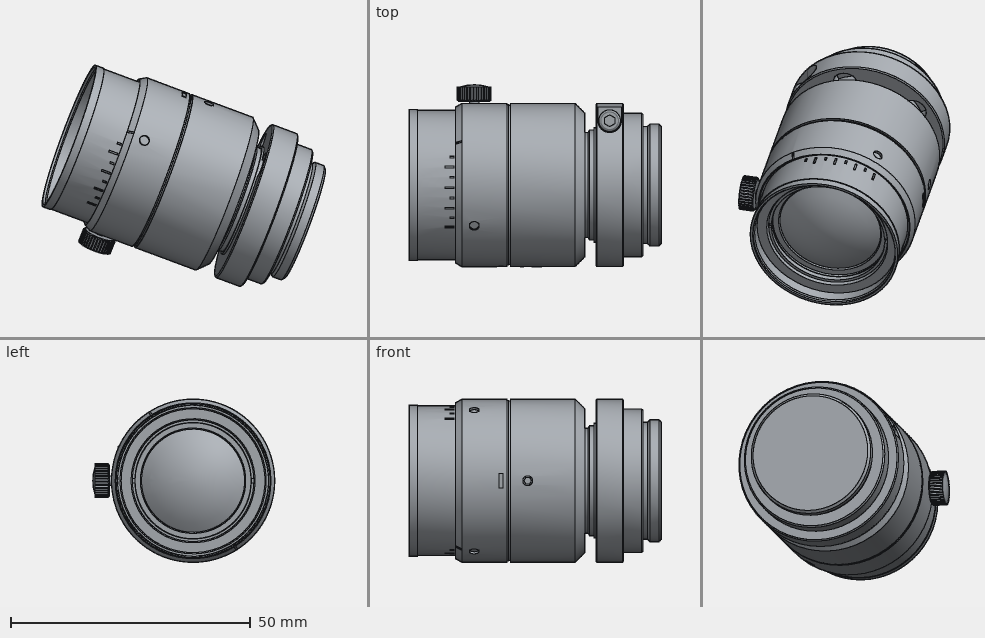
import cadquery as cq
import math

total_length = 52.6
max_dia = 34.1
barrel_axis = ((0, 0, 0), (1, 0, 0))

rim_dia = 31.55
rim_end = 1.75
sleeve_dia = 31.3
ring_start = 9.65
ring_front_dia = 32.5
ring_bore_dia = 32.1
ring_gap_depth = 0.5
ring_chamfer_end = 11.0
groove_start = 20.4
groove_end = 21.1
groove_dia = 33.5
groove_rear_dia = 33.3
body_chamfer_start = 34.6
body_end = 36.65
body_end_dia = 30.0

neck_dia = 22.0
neck_cone_start = 37.35
neck_cone_end = 37.6
collar_dia = 23.0
collar_end = 38.5
shoulder_dia = 24.0
flange_start = 38.95
flange_end = 44.7
flange_chamfer = 0.25
mount_dia = 30.0
mount_end = 48.8
mount_chamfer = 0.3
relief_dia = 24.45
thread_start = 49.7
thread_dia = 25.5
thread_chamfer = (thread_dia - relief_dia) / 2

rim_inner_dia = 30.5
recess_dia = 30.0
recess_chamfer_start = 0.5
recess_chamfer_end = 0.8
recess_depth = 3.15
seat_bore_dia = 25.35
seat_bore_front_dia = 25.9
retainer_start = 3.85
retainer_dia = 24.2
retainer_end = 5.05
undercut_dia = 24.4
lens_seat_x = 5.8
lens_bore_dia = 22.0
lens_dia = 21.5
lens_edge_x = 6.1
lens_apex_x = 2.4
spanner_slot_width = 0.9
spanner_slot_depth = 0.65

screw_x = 13.55
screw_hole_dia = 2.05
screw_hole_depth = 0.5
screw_hole_angles = (120, 240)
shank_embedding = 0.5
knob_dia = 7.1
knob_bottom = 17.45
knob_top = 20.45
knob_chamfer = 0.3
dome_dia = 5.9
dome_top = 20.95
flute_count = 36
flute_dia = 0.35

set_screw_x = 24.75
set_screw_recess = 0.5
set_screw_hex = 1.6
set_screw_hex_depth = 0.8
set_screw_angle = 180
mark_x = 19.2
mark_width = 0.85
mark_length = 3.05
mark_depth = 0.2

clamp_x = (flange_start + flange_end) / 2
clamp_y = 13.4
clamp_seat_z = 5.1
clamp_seat_width = 4.9
clamp_head_dia = 4.5
clamp_head_height = 2.2
clamp_head_fillet = 0.4
clamp_hex = 2.45
clamp_hex_depth = 1.05
flange_hole_dia = 5.25
flange_hole_circle_radius = 13.05
flange_hole_depth = 3.15
flange_hole_angles = (72, 144, 216)
flange_core_dia = 25.05
flange_core_setback = 0.3

tick_count = 8
tick_spacing = 8.0
first_tick_angle = 68.0
tick_end = 9.35
short_tick_length = 0.85
long_tick_length = 1.9
index_angle = 57.6
engraving_width = 0.35
engraving_depth = 0.1


def barrel():
    """Solid of revolution about X, without the front recess."""
    r = max_dia / 2
    groove_middle = (groove_start + groove_end) / 2
    outline = [
        (0, 0),
        (0, rim_dia / 2),
        (rim_end, rim_dia / 2),
        (rim_end, sleeve_dia / 2),
        (ring_start + ring_gap_depth, sleeve_dia / 2),
        (ring_start + ring_gap_depth, ring_bore_dia / 2),
        (ring_start, ring_bore_dia / 2),
        (ring_start, ring_front_dia / 2),
        (ring_chamfer_end, r),
        (groove_start, r),
        (groove_start, groove_dia / 2),
        (groove_middle, groove_dia / 2),
        (groove_middle, groove_rear_dia / 2),
        (groove_end, groove_rear_dia / 2),
        (groove_end, r),
        (body_chamfer_start, r),
        (body_end, body_end_dia / 2),
        (body_end, neck_dia / 2),
        (neck_cone_start, neck_dia / 2),
        (neck_cone_end, collar_dia / 2),
        (collar_end, collar_dia / 2),
        (collar_end, shoulder_dia / 2),
        (flange_start, shoulder_dia / 2),
        (flange_start, r - flange_chamfer),
        (flange_start + flange_chamfer, r),
        (flange_end - flange_chamfer, r),
        (flange_end, r - flange_chamfer),
        (flange_end, mount_dia / 2),
        (mount_end - mount_chamfer, mount_dia / 2),
        (mount_end, mount_dia / 2 - mount_chamfer),
        (mount_end, relief_dia / 2),
        (thread_start, relief_dia / 2),
        (thread_start + thread_chamfer, thread_dia / 2),
        (total_length - thread_chamfer, thread_dia / 2),
        (total_length, relief_dia / 2),
        (total_length, 0),
    ]
    return cq.Workplane("XY").polyline(outline).close().revolve(360, *barrel_axis)


def front_recess():
    """Stepped opening in front of the convex lens surface."""
    lens_r = lens_dia / 2
    sag = lens_edge_x - lens_apex_x
    sphere_r = (lens_r**2 + sag**2) / (2 * sag)
    half_angle = math.asin(lens_r / sphere_r) / 2
    lens_mid = (
        lens_apex_x + sphere_r * (1 - math.cos(half_angle)),
        sphere_r * math.sin(half_angle),
    )
    return (
        cq.Workplane("XY")
        .moveTo(0, 0)
        .lineTo(0, rim_inner_dia / 2)
        .lineTo(recess_chamfer_start, rim_inner_dia / 2)
        .lineTo(recess_chamfer_end, recess_dia / 2)
        .lineTo(recess_depth, recess_dia / 2)
        .lineTo(recess_depth, seat_bore_front_dia / 2)
        .lineTo(retainer_start, seat_bore_dia / 2)
        .lineTo(retainer_start, retainer_dia / 2)
        .lineTo(retainer_end, retainer_dia / 2)
        .lineTo(retainer_end, undercut_dia / 2)
        .lineTo(lens_seat_x, undercut_dia / 2)
        .lineTo(lens_seat_x, lens_bore_dia / 2)
        .lineTo(lens_edge_x, lens_r)
        .threePointArc(lens_mid, (lens_apex_x, 0))
        .close()
        .revolve(360, *barrel_axis)
    )


def spanner_slots():
    """Pair of slots across the lens retaining ring, on the Y axis."""
    slot = cq.Workplane("XY", origin=(retainer_start + spanner_slot_depth / 2, 0, 0)).box(
        spanner_slot_depth, seat_bore_dia, spanner_slot_width
    )
    bore = cq.Workplane("YZ").circle(retainer_dia / 2).extrude(retainer_end)
    return slot.cut(bore)


def radial_plane(x, angle, radius):
    """Workplane facing outward at the given X, radius and angle from +Y toward +Z."""
    a = math.radians(angle)
    out = (0, math.cos(a), math.sin(a))
    origin = (x, radius * out[1], radius * out[2])
    return cq.Workplane(cq.Plane(origin=origin, xDir=(1, 0, 0), normal=out))


def radial_hole(angle):
    """Blind radial hole in the ring."""
    floor_radius = max_dia / 2 - screw_hole_depth
    return radial_plane(screw_x, angle, floor_radius).circle(screw_hole_dia / 2).extrude(2 * screw_hole_depth)


def thumb_screw():
    """Knurled thumb screw with a domed top, standing on +Y."""
    head_height = knob_top - knob_bottom
    shank_start = max_dia / 2 - shank_embedding
    shank = radial_plane(screw_x, 0, shank_start).circle(screw_hole_dia / 2)
    shank = shank.extrude(knob_bottom - shank_start)
    head = radial_plane(screw_x, 0, knob_bottom).circle(knob_dia / 2).extrude(head_height)
    head = head.faces("<Y").chamfer(knob_chamfer)
    flutes = (
        radial_plane(screw_x, 0, knob_bottom)
        .polarArray(knob_dia / 2, 0, 360, flute_count)
        .circle(flute_dia / 2)
        .extrude(head_height)
    )
    dome_height = dome_top - knob_top
    sphere_radius = ((dome_dia / 2) ** 2 + dome_height**2) / (2 * dome_height)
    dome = (
        cq.Workplane("XY")
        .moveTo(screw_x, knob_top)
        .lineTo(screw_x + dome_dia / 2, knob_top)
        .radiusArc((screw_x, dome_top), -sphere_radius)
        .close()
        .revolve(360, (screw_x, 0, 0), (screw_x, 1, 0))
    )
    return shank.union(head.cut(flutes)).union(dome)


def set_screw_opening():
    """Bore on -Y down to the set screw, with the hexagon socket below it."""
    floor_radius = max_dia / 2 - set_screw_recess
    bore = radial_plane(set_screw_x, set_screw_angle, floor_radius).circle(screw_hole_dia / 2)
    socket = radial_plane(set_screw_x, set_screw_angle, floor_radius).polygon(6, set_screw_hex)
    return bore.extrude(2 * set_screw_recess).union(socket.extrude(-set_screw_hex_depth))


def body_mark():
    """Shallow rectangular mark in line with the set screw."""
    floor_plane = radial_plane(mark_x, set_screw_angle, max_dia / 2 - mark_depth)
    return floor_plane.rect(mark_width, mark_length).extrude(2 * mark_depth)


def clamp_seat():
    """Round-ended flat cut into the flange, open toward +Y."""
    reach = max_dia / 2 - clamp_y
    seat = cq.Workplane("XY", origin=(clamp_x, clamp_y, clamp_seat_z))
    height = max_dia / 2
    pocket = seat.circle(clamp_seat_width / 2).extrude(height)
    opening = seat.center(0, reach / 2).rect(clamp_seat_width, reach).extrude(height)
    return pocket.union(opening)


def clamp_screw():
    """Socket-head screw standing on the clamp seat."""
    return (
        cq.Workplane("XY", origin=(clamp_x, clamp_y, clamp_seat_z))
        .circle(clamp_head_dia / 2)
        .extrude(clamp_head_height)
        .faces(">Z")
        .edges()
        .fillet(clamp_head_fillet)
        .faces(">Z")
        .workplane()
        .transformed(rotate=(0, 0, 90))
        .polygon(6, clamp_hex)
        .cutBlind(-clamp_hex_depth)
    )


def flange_hole(angle):
    """Hole into the front face of the flange, interrupted by the stepped core of the barrel."""
    a = math.radians(angle)
    y = flange_hole_circle_radius * math.cos(a)
    z = flange_hole_circle_radius * math.sin(a)
    hole = cq.Workplane("YZ", origin=(flange_start, y, z)).circle(flange_hole_dia / 2)
    hole = hole.extrude(flange_hole_depth)
    core = cq.Workplane("YZ").circle(shoulder_dia / 2).extrude(flange_end)
    stepped_core = (
        cq.Workplane("YZ", origin=(flange_start + flange_core_setback, 0, 0))
        .circle(flange_core_dia / 2)
        .extrude(flange_hole_depth)
    )
    return hole.cut(core).cut(stepped_core)


def scale_tick(index, side):
    """One line of the aperture scale; every second line is long."""
    length = long_tick_length if index % 2 else short_tick_length
    angle = first_tick_angle + index * tick_spacing + side
    floor_radius = sleeve_dia / 2 - engraving_depth
    plane = radial_plane(tick_end - length / 2, angle, floor_radius)
    return plane.rect(length, engraving_width).extrude(2 * engraving_depth)


def index_mark(side):
    """Groove of constant depth along the front cone of the ring."""
    front_floor = ring_front_dia / 2 - engraving_depth
    rear_floor = max_dia / 2 - engraving_depth
    return (
        cq.Workplane("XY")
        .polyline([
            (ring_start, front_floor),
            (ring_chamfer_end, rear_floor),
            (ring_chamfer_end, max_dia / 2),
            (ring_start, max_dia / 2),
        ])
        .close()
        .extrude(engraving_width / 2, both=True)
        .rotate(*barrel_axis, index_angle + side)
    )


result = barrel().cut(front_recess()).cut(spanner_slots())
for hole_angle in screw_hole_angles:
    result = result.cut(radial_hole(hole_angle))
for hole_angle in flange_hole_angles:
    result = result.cut(flange_hole(hole_angle))
for scale_side in (0, 180):
    result = result.cut(index_mark(scale_side))
    for tick in range(tick_count):
        result = result.cut(scale_tick(tick, scale_side))
result = result.cut(set_screw_opening()).cut(body_mark())
result = result.cut(clamp_seat()).union(clamp_screw()).union(thumb_screw())